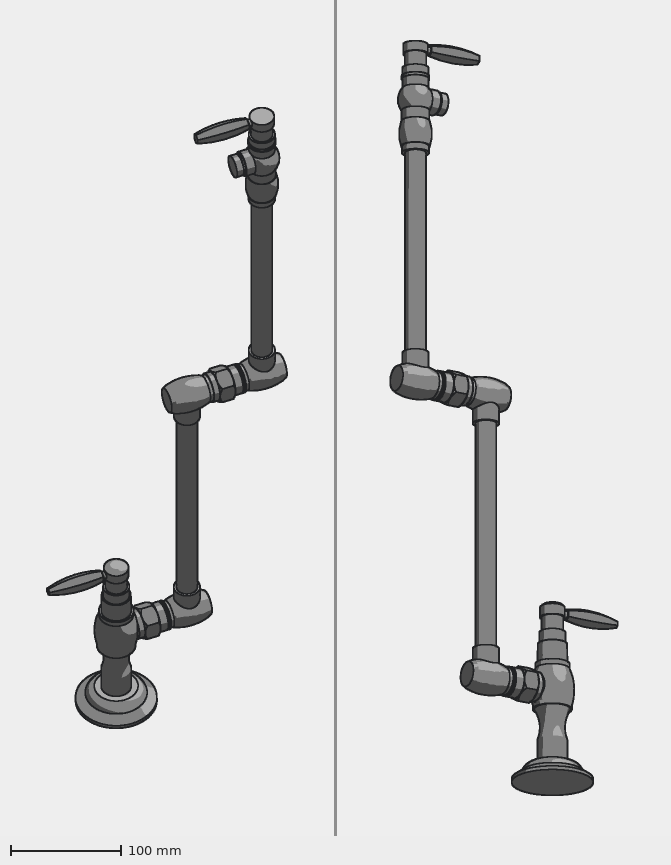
import cadquery as cq
import math

TOTAL_HEIGHT = 685
LOWER_PIPE_Y = 70.0
UPPER_PIPE_Y = 144.0
LOWER_ARM_Z = 88.5
UPPER_ARM_Z = 358.5
HEAD_BASE_Z = 577.0
PIPE_RADIUS = 9.5

HUB_RADIUS = 11.3
STEM_RADIUS = 9.95
NECK_RADIUS = 3.5
GRIP_START = 14.5
GRIP_START_RADIUS = 5.5
GRIP_RADIUS = 8.0
LOWER_GRIP_END = 67.0
LOWER_TIP_RADIUS = 3.5
UPPER_GRIP_END = 65.0
UPPER_TIP_RADIUS = 5.0
LOWER_LEVER_Z = 162.5
LOWER_HUB_BOTTOM_Z = 157.5
LOWER_HUB_EDGE_Z = 167.0
LOWER_HUB_TOP_Z = 170.5
LOWER_DOME_RADIUS = 5.5
LOWER_DOME_MIDDLE_RADIUS = 9.5
UPPER_HUB_BOTTOM_Z = 671.5
UPPER_HUB_TOP_Z = 680.5
UPPER_LEVER_Z = TOTAL_HEIGHT - GRIP_RADIUS

FLANGE_RADIUS = 37.0
FLANGE_LIP = 3.5
FLANGE_LEDGE_Z = 9.5
FLANGE_LEDGE_RADIUS = 28.0
FLANGE_TOP_Z = 18.0
FLANGE_TOP_RADIUS = 20.0
FLANGE_SHOULDER_RADIUS = 26.0
COLUMN_RADIUS = 14.0
COLUMN_TOP_Z = 40.5
WAIST_RADIUS = 11.5
WAIST_TOP_RADIUS = 16.5
WAIST_TOP_Z = 70.0
BULB_BOTTOM_Z = 74.0
BULB_BOTTOM_RADIUS = 18.0
BULB_RADIUS = 20.0
BULB_TOP_Z = 108.0
BULB_TOP_RADIUS = 16.0
BULB_COLLAR_Z = 113.0
BONNET_RADIUS = 14.0
BONNET_STEP_Z = 119.0
BONNET_STEP_RADIUS = 13.35
BONNET_TOP_Z = 132.0
BONNET_NUT_RADIUS = 12.0
BONNET_NUT_TOP_Z = 143.0

ELBOW_HALF_LENGTH = 20.0
ELBOW_END_RADIUS = 14.0
ELBOW_RADIUS = 16.1
ELBOW_BEVEL_LENGTH = 4.0
ELBOW_TIP_RADIUS = 11.5
SOCKET_RADIUS = 12.0
SOCKET_LENGTH = 27.5

SHAFT_RADIUS = 12.7
SWIVEL_RING_RADIUS = 14.0
SWIVEL_RING_START = 21.0
SWIVEL_RING_WIDTH = 1.5
SLEEVE_START = 24.0
NUT_START = 32.0
NUT_WIDTH = 15.0
NUT_ACROSS_CORNERS = 33.5
NUT_BEVEL = 2.0
SLEEVE_END = 53.0

HEAD_FOOT_RADIUS = 12.0
HEAD_BARREL_Z = 583.0
HEAD_BARREL_END_RADIUS = 13.0
HEAD_BARREL_RADIUS = 15.0
HEAD_BARREL_TOP_Z = 607.0
HEAD_NECK_RADIUS = 12.7
GLOBE_BOTTOM_Z = 617.0
GLOBE_TOP_Z = 638.5
GLOBE_RADIUS = 16.1
HEAD_BONNET_RADIUS = 12.0
HEAD_RING_Z = 647.5
HEAD_RING_RADIUS = 12.7
HEAD_RING_WIDTH = 3.0
HEAD_BONNET_TOP_Z = 658.0
SPOUT_Z = (GLOBE_BOTTOM_Z + GLOBE_TOP_Z) / 2
SPOUT_COLLAR_RADIUS = 11.5
SPOUT_COLLAR_REACH = 20.0
SPOUT_GROOVE_RADIUS = 9.5
SPOUT_GROOVE_WIDTH = 2.0
SPOUT_TIP_RADIUS = 10.0
SPOUT_REACH = 29.0


def turned(steps):
    """Solid of revolution about Z through (radius, height) steps.

    A third value in a step makes it an arc passing through that radius at half height.
    """
    first_radius, first_height = steps[0]
    profile = cq.Workplane("XZ").moveTo(0, first_height).lineTo(first_radius, first_height)
    last_height = first_height
    for radius, height, *middle_radius in steps[1:]:
        if middle_radius:
            middle = (middle_radius[0], (last_height + height) / 2)
            profile = profile.threePointArc(middle, (radius, height))
        else:
            profile = profile.lineTo(radius, height)
        last_height = height
    return profile.lineTo(0, last_height).close().revolve(360, (0, 0), (0, 1))


def cylinder(radius, bottom, top):
    return turned([(radius, bottom), (radius, top)])


def facing_front(solid, y, z):
    """Lay a Z-axis solid down so that it points to -Y from the point (0, y, z)."""
    return solid.rotate((0, 0, 0), (1, 0, 0), 90).translate((0, y, z))


def hexagon_grip(end, tip_radius):
    """Bulged six-sided bar along Z with a corner edge towards +Y; radii are to the corners.

    Each bowed slab carries two opposite sides, and the bar is what the three slabs share.
    """
    flat_ratio = math.cos(math.pi / 6)
    start_half = GRIP_START_RADIUS * flat_ratio
    middle_half = GRIP_RADIUS * flat_ratio
    tip_half = tip_radius * flat_ratio
    middle = (GRIP_START + end) / 2
    slab = (
        cq.Workplane("XZ")
        .moveTo(-start_half, GRIP_START)
        .lineTo(start_half, GRIP_START)
        .threePointArc((middle_half, middle), (tip_half, end))
        .lineTo(-tip_half, end)
        .threePointArc((-middle_half, middle), (-start_half, GRIP_START))
        .close()
        .extrude(2 * GRIP_RADIUS, both=True)
    )
    grip = slab
    for angle in (60, 120):
        grip = grip.intersect(slab.rotate((0, 0, 0), (0, 0, 1), angle))
    return grip


def lever(y, z, grip_end, tip_radius):
    """Six-sided grip on a thin neck, pointing to -Y from the stem axis."""
    neck = cylinder(NECK_RADIUS, 0, (GRIP_START + grip_end) / 2)
    grip = hexagon_grip(grip_end, tip_radius)
    return facing_front(neck.union(grip), y, z)


def valve_body():
    """Base flange, waisted column, bulb and stepped bonnet."""
    return turned([
        (FLANGE_RADIUS, 0),
        (FLANGE_RADIUS, FLANGE_LIP),
        (FLANGE_LEDGE_RADIUS, FLANGE_LEDGE_Z),
        (FLANGE_TOP_RADIUS, FLANGE_TOP_Z, FLANGE_SHOULDER_RADIUS),
        (COLUMN_RADIUS, FLANGE_TOP_Z),
        (COLUMN_RADIUS, COLUMN_TOP_Z),
        (WAIST_TOP_RADIUS, WAIST_TOP_Z, WAIST_RADIUS),
        (BULB_BOTTOM_RADIUS, WAIST_TOP_Z),
        (BULB_BOTTOM_RADIUS, BULB_BOTTOM_Z),
        (BULB_TOP_RADIUS, BULB_TOP_Z, BULB_RADIUS),
        (BULB_TOP_RADIUS, BULB_COLLAR_Z),
        (BONNET_RADIUS, BULB_COLLAR_Z),
        (BONNET_RADIUS, BONNET_STEP_Z),
        (BONNET_STEP_RADIUS, BONNET_TOP_Z),
        (BONNET_NUT_RADIUS, BONNET_TOP_Z),
        (BONNET_NUT_RADIUS, BONNET_NUT_TOP_Z),
    ])


def lower_handle():
    """Stem with a domed hub, and its lever."""
    stem = turned([
        (STEM_RADIUS, BONNET_NUT_TOP_Z),
        (STEM_RADIUS, LOWER_HUB_BOTTOM_Z),
        (HUB_RADIUS, LOWER_HUB_BOTTOM_Z),
        (HUB_RADIUS, LOWER_HUB_EDGE_Z),
        (LOWER_DOME_RADIUS, LOWER_HUB_TOP_Z, LOWER_DOME_MIDDLE_RADIUS),
    ])
    return stem.union(lever(0, LOWER_LEVER_Z, LOWER_GRIP_END, LOWER_TIP_RADIUS))


def upper_handle():
    """Stem with a flat hub, and its lever."""
    stem = turned([
        (STEM_RADIUS, HEAD_BONNET_TOP_Z),
        (STEM_RADIUS, UPPER_HUB_BOTTOM_Z),
        (HUB_RADIUS, UPPER_HUB_BOTTOM_Z),
        (HUB_RADIUS, UPPER_HUB_TOP_Z),
    ])
    stem = stem.translate((0, UPPER_PIPE_Y, 0))
    return stem.union(lever(UPPER_PIPE_Y, UPPER_LEVER_Z, UPPER_GRIP_END, UPPER_TIP_RADIUS))


def elbow(y, z, socket_side):
    """Barrel along Y with a pipe socket above (socket_side = 1) or below (-1)."""
    rim = ELBOW_HALF_LENGTH - ELBOW_BEVEL_LENGTH
    barrel = turned([
        (ELBOW_TIP_RADIUS, -ELBOW_HALF_LENGTH),
        (ELBOW_END_RADIUS, -rim),
        (ELBOW_END_RADIUS, rim, ELBOW_RADIUS),
        (ELBOW_TIP_RADIUS, ELBOW_HALF_LENGTH),
    ])
    socket = cylinder(SOCKET_RADIUS, 0, socket_side * SOCKET_LENGTH)
    return facing_front(barrel, y, z).union(socket.translate((0, y, z)))


def swivel(y, z):
    """Ringed shaft, sleeve and hexagon nut running to -Y from an elbow."""
    nut_end = NUT_START + NUT_WIDTH
    ring_end = SWIVEL_RING_START + SWIVEL_RING_WIDTH
    shaft = turned([
        (SHAFT_RADIUS, 0),
        (SHAFT_RADIUS, SWIVEL_RING_START),
        (SWIVEL_RING_RADIUS, SWIVEL_RING_START),
        (SWIVEL_RING_RADIUS, ring_end),
        (SHAFT_RADIUS, ring_end),
        (SHAFT_RADIUS, SLEEVE_START),
        (SWIVEL_RING_RADIUS, SLEEVE_START),
        (SWIVEL_RING_RADIUS, SLEEVE_END),
        (SHAFT_RADIUS, SLEEVE_END),
        (SHAFT_RADIUS, UPPER_PIPE_Y - LOWER_PIPE_Y),
    ])
    nut_corner = NUT_ACROSS_CORNERS / 2
    hexagon = (
        cq.Workplane("XY")
        .workplane(offset=NUT_START)
        .polygon(6, NUT_ACROSS_CORNERS)
        .extrude(NUT_WIDTH)
        .rotate((0, 0, 0), (0, 0, 1), 90)
    )
    corner_bevels = turned([
        (nut_corner - NUT_BEVEL, NUT_START),
        (nut_corner, NUT_START + NUT_BEVEL),
        (nut_corner, nut_end - NUT_BEVEL),
        (nut_corner - NUT_BEVEL, nut_end),
    ])
    nut = hexagon.intersect(corner_bevels)
    return facing_front(shaft.union(nut), y, z)


def outlet_head():
    """Socket barrel, globe and bonnet on top of the upper pipe."""
    ring_end = HEAD_RING_Z + HEAD_RING_WIDTH
    head = turned([
        (HEAD_FOOT_RADIUS, HEAD_BASE_Z),
        (HEAD_FOOT_RADIUS, HEAD_BARREL_Z),
        (HEAD_BARREL_END_RADIUS, HEAD_BARREL_Z),
        (HEAD_BARREL_END_RADIUS, HEAD_BARREL_TOP_Z, HEAD_BARREL_RADIUS),
        (HEAD_NECK_RADIUS, HEAD_BARREL_TOP_Z),
        (HEAD_NECK_RADIUS, GLOBE_BOTTOM_Z),
        (HEAD_BONNET_RADIUS, GLOBE_TOP_Z, GLOBE_RADIUS),
        (HEAD_BONNET_RADIUS, HEAD_RING_Z),
        (HEAD_RING_RADIUS, HEAD_RING_Z),
        (HEAD_RING_RADIUS, ring_end),
        (HEAD_BONNET_RADIUS, ring_end),
        (HEAD_BONNET_RADIUS, HEAD_BONNET_TOP_Z),
    ])
    return head.translate((0, UPPER_PIPE_Y, 0))


def spout():
    """Short grooved outlet pointing to -Y from the middle of the globe."""
    groove_end = SPOUT_COLLAR_REACH + SPOUT_GROOVE_WIDTH
    outlet = turned([
        (SPOUT_COLLAR_RADIUS, 0),
        (SPOUT_COLLAR_RADIUS, SPOUT_COLLAR_REACH),
        (SPOUT_GROOVE_RADIUS, SPOUT_COLLAR_REACH),
        (SPOUT_GROOVE_RADIUS, groove_end),
        (SPOUT_TIP_RADIUS, groove_end),
        (SPOUT_TIP_RADIUS, SPOUT_REACH),
    ])
    return facing_front(outlet, UPPER_PIPE_Y, SPOUT_Z)


def pipe(y, bottom, top):
    return cylinder(PIPE_RADIUS, bottom, top).translate((0, y, 0))


features = [
    lower_handle(),
    swivel(LOWER_PIPE_Y, LOWER_ARM_Z),
    elbow(LOWER_PIPE_Y, LOWER_ARM_Z, 1),
    pipe(LOWER_PIPE_Y, LOWER_ARM_Z, UPPER_ARM_Z),
    elbow(LOWER_PIPE_Y, UPPER_ARM_Z, -1),
    swivel(UPPER_PIPE_Y, UPPER_ARM_Z),
    elbow(UPPER_PIPE_Y, UPPER_ARM_Z, 1),
    pipe(UPPER_PIPE_Y, UPPER_ARM_Z, HEAD_BARREL_Z),
    outlet_head(),
    spout(),
    upper_handle(),
]

result = valve_body()
for feature in features:
    result = result.union(feature)